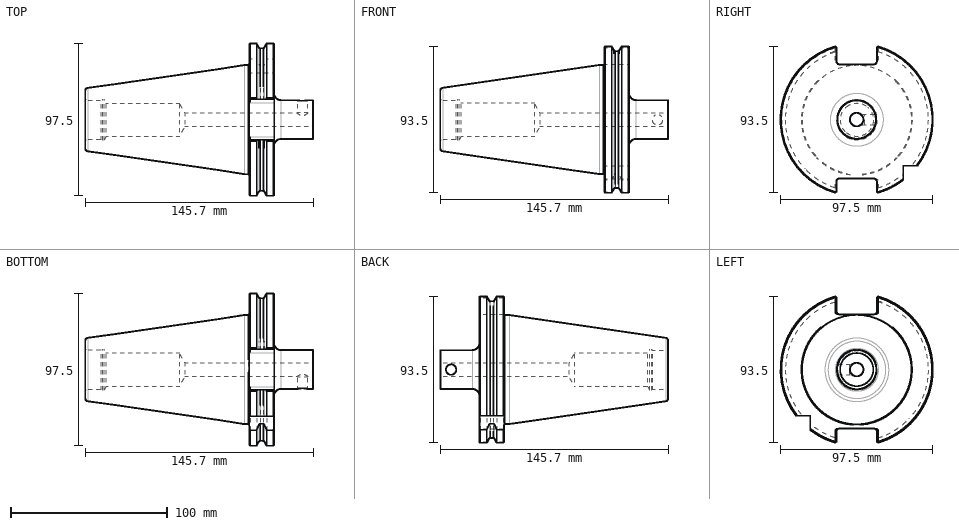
import cadquery as cq
import math


taper_length = 101.6
gauge_radius = 69.85 / 2
taper_slope = 7 / 48
tail_radius = gauge_radius - taper_slope * taper_length
tail_fillet = 2.0

flange_start = 3.18
flange_width = 15.88
flange_end = flange_start + flange_width
flange_radius = 97.5 / 2
flange_front_chamfer = 0.7
flange_rear_chamfer = 0.5
flange_root_fillet = 0.5
groove_center = flange_start + flange_width / 2
groove_apex_radius = 43.125
groove_floor_radius = 91.25 / 2
groove_half_angle = math.radians(30)
groove_fillet = 0.9

slot_width = 25.7
upper_slot_floor = 35.3
lower_slot_floor = 37.7
slot_fillet = 2.0
slot_chamfer = 1.0
slot_chamfer_depth = 0.7
notch_y = 29.8
notch_z = 29.6

nose_end = 44.1
nose_radius = 25 / 2
nose_root_fillet = 4.4
nose_chamfer = 0.3

pilot_radius = 25 / 2
pilot_depth = 10.1
pilot_mouth_fillet = 1.2
undercut_radius = 12.9
undercut_entry = 0.9
undercut_width = 1.9
thread_radius = 21.2 / 2
thread_depth = 60.0
cone_half_angle = math.radians(60)
through_radius = 8.5 / 2

screw_radius = 6.6 / 2
screw_x = nose_end - 7.0
screw_tip_gap = 0.5
screw_tip_y = through_radius + screw_tip_gap
screw_recess = 0.5

tail_x = -taper_length
cutter_clearance = 1.0
match_tolerance = 0.01


def revolve_about_x(profile):
    """Solid of revolution from an open profile drawn in the XZ plane."""
    return profile.close().revolve(360, (0, 0, 0), (1, 0, 0))


def circles(body, radius):
    """Circular edges of the given radius."""
    return [e for e in body.edges("%CIRCLE").vals() if abs(e.radius() - radius) < match_tolerance]


def turned_outside():
    """Taper, flange and nose as one turned blank."""
    blank = revolve_about_x(
        cq.Workplane("XZ")
        .moveTo(tail_x, 0)
        .lineTo(tail_x, tail_radius)
        .lineTo(0, gauge_radius)
        .lineTo(flange_start, gauge_radius)
        .lineTo(flange_start, flange_radius)
        .lineTo(flange_end, flange_radius)
        .lineTo(flange_end, nose_radius)
        .lineTo(nose_end, nose_radius)
        .lineTo(nose_end, 0)
    )

    def rim(x, radius):
        return blank.newObject([e for e in circles(blank, radius) if abs(e.Center().x - x) < match_tolerance])

    blank = rim(tail_x, tail_radius).fillet(tail_fillet)
    blank = rim(flange_start, gauge_radius).fillet(flange_root_fillet)
    blank = rim(flange_end, nose_radius).fillet(nose_root_fillet)
    blank = rim(nose_end, nose_radius).chamfer(nose_chamfer)
    blank = rim(flange_start, flange_radius).chamfer(flange_front_chamfer)
    return rim(flange_end, flange_radius).chamfer(flange_rear_chamfer)


def gripper_groove():
    """Ring-shaped cutter with sloping walls and a rounded floor."""
    clear_radius = flange_radius + cutter_clearance

    def half_width(radius):
        return (radius - groove_apex_radius) * math.tan(groove_half_angle)

    ring = revolve_about_x(
        cq.Workplane("XZ")
        .moveTo(groove_center - half_width(clear_radius), clear_radius)
        .lineTo(groove_center - half_width(groove_floor_radius), groove_floor_radius)
        .lineTo(groove_center + half_width(groove_floor_radius), groove_floor_radius)
        .lineTo(groove_center + half_width(clear_radius), clear_radius)
    )
    return ring.newObject(circles(ring, groove_floor_radius)).fillet(groove_fillet)


def slot_outline(workplane, half_width, floor, side):
    """Slot cross-section in a plane across X, with rounded floor corners, reaching past the rim."""
    corner_y = half_width - slot_fillet
    corner_z = side * (floor + slot_fillet)
    floor_z = side * floor
    top_z = side * (flange_radius + cutter_clearance)
    arc_reach = slot_fillet * math.sqrt(0.5)
    return (
        workplane
        .moveTo(-half_width, top_z)
        .lineTo(-half_width, corner_z)
        .threePointArc((-corner_y - arc_reach, corner_z - side * arc_reach), (-corner_y, floor_z))
        .lineTo(corner_y, floor_z)
        .threePointArc((corner_y + arc_reach, corner_z - side * arc_reach), (half_width, corner_z))
        .lineTo(half_width, top_z)
        .close()
    )


def drive_slot(floor, side):
    """Slot cutter on the +Z (side = 1) or -Z (side = -1) edge of the flange, with chamfered mouths."""
    half = slot_width / 2
    face = cq.Workplane("YZ", origin=(flange_start, 0, 0))
    slot = slot_outline(face, half, floor, side).extrude(flange_width)

    wide_end = slot_outline(face, half + slot_chamfer, floor, side)
    flare = slot_outline(wide_end.workplane(offset=slot_chamfer_depth), half, floor, side).loft(ruled=True)

    rim_y = half + slot_chamfer * math.cos(math.asin(half / flange_radius))
    rim_z = math.sqrt(flange_radius ** 2 - rim_y ** 2)
    wall_z = math.sqrt(flange_radius ** 2 - half ** 2) - slot_chamfer
    top_z = flange_radius + cutter_clearance
    rise = (rim_z - wall_z) / (rim_y - half)
    mouth_y = half + (top_z - wall_z) / rise
    mouth = (
        face
        .polyline([
            (-half, side * wall_z),
            (half, side * wall_z),
            (mouth_y, side * top_z),
            (-mouth_y, side * top_z),
        ])
        .close()
        .extrude(flange_width)
    )
    return slot.union(flare).union(mouth)


def orientation_notch():
    """Square corner cut through the flange on its +Y, -Z side."""
    size = flange_radius
    return (
        cq.Workplane("XY")
        .box(flange_width, size, size, centered=(False, False, False))
        .translate((flange_start, notch_y, -notch_z - size))
    )


def bore():
    """Stepped bore from the small end of the taper through to the nose."""
    pilot_x = tail_x + pilot_depth
    undercut_x = pilot_x + undercut_width
    countersink_length = (undercut_radius - thread_radius) / math.tan(cone_half_angle)
    cone_x = tail_x + thread_depth
    cone_length = (thread_radius - through_radius) / math.tan(cone_half_angle)
    return revolve_about_x(
        cq.Workplane("XZ")
        .moveTo(tail_x, 0)
        .lineTo(tail_x, pilot_radius + pilot_mouth_fillet)
        .radiusArc((tail_x + pilot_mouth_fillet, pilot_radius), -pilot_mouth_fillet)
        .lineTo(pilot_x, pilot_radius)
        .lineTo(pilot_x + undercut_entry, undercut_radius)
        .lineTo(undercut_x, undercut_radius)
        .lineTo(undercut_x + countersink_length, thread_radius)
        .lineTo(cone_x, thread_radius)
        .lineTo(cone_x + cone_length, through_radius)
        .lineTo(nose_end, through_radius)
        .lineTo(nose_end, 0)
    )


def side_cylinder(start_y, end_y):
    """Cylinder of the clamping screw's size, along +Y in the nose."""
    return cq.Workplane("XZ", origin=(screw_x, start_y, 0)).circle(screw_radius).extrude(start_y - end_y)


def make_holder():
    return (
        turned_outside()
        .cut(gripper_groove())
        .cut(drive_slot(upper_slot_floor, 1))
        .cut(drive_slot(lower_slot_floor, -1))
        .cut(orientation_notch())
        .cut(bore())
        .cut(side_cylinder(0, nose_radius + cutter_clearance))
    )


def make_clamping_screw():
    return side_cylinder(screw_tip_y, nose_radius - screw_recess)


holder = make_holder()
clamping_screw = make_clamping_screw()

result = cq.Compound.makeCompound([holder.val(), clamping_screw.val()])